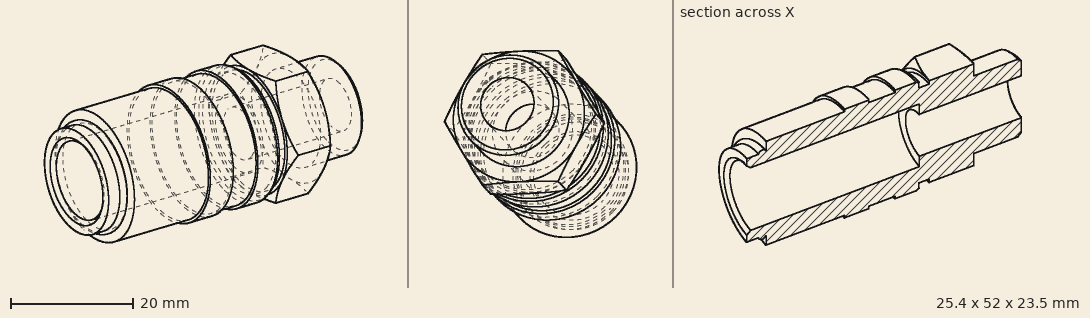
import cadquery as cq
import math

length = 52.0

tip_radius = 9.05
bead_radius = 9.65
bead_width = 1.4
sleeve_radius = 11.25
band_radius = 11.75
neck_radius = 10.3
spigot_radius = 8.4
spigot_chamfer = 0.75

sleeve_start = 3.65
front_band_start = 18.5
front_band_end = 23.15
rear_band_start = 28.1
rear_band_end = 32.65
band_chamfer_length = 0.6
band_chamfer_depth = 0.35

hex_start = 34.55
hex_end = 43.0
hex_across_corners = 25.4
hex_across_flats = hex_across_corners * math.cos(math.radians(30))
hex_chamfer_angle = 30.0

socket_radius = 6.7
socket_depth = rear_band_end
mouth_chamfer = 0.75
through_radius = 4.45


def revolve_about_y(profile):
    """Turn a closed (radius, y) profile a full circle around the Y axis."""
    return profile.close().revolve(360, (0, 0, 0), (0, 1, 0))


def turned_body():
    """Tip, retaining bead, sleeve with two raised bands, neck and spigot."""
    bead_start = sleeve_start - bead_width
    bead_middle = sleeve_start - bead_width / 2
    profile = (
        cq.Workplane("XY")
        .moveTo(0, 0)
        .lineTo(tip_radius, 0)
        .lineTo(tip_radius, bead_start)
        .threePointArc((bead_radius, bead_middle), (tip_radius, sleeve_start))
        .lineTo(sleeve_radius, sleeve_start)
        .lineTo(sleeve_radius, front_band_start)
        .lineTo(band_radius, front_band_start)
        .lineTo(band_radius, front_band_end)
        .lineTo(sleeve_radius, front_band_end)
        .lineTo(sleeve_radius, rear_band_start)
        .lineTo(band_radius, rear_band_start)
        .lineTo(band_radius, rear_band_end - band_chamfer_length)
        .lineTo(band_radius - band_chamfer_depth, rear_band_end)
        .lineTo(neck_radius, rear_band_end)
        .lineTo(neck_radius, hex_start)
        .lineTo(spigot_radius, hex_start)
        .lineTo(spigot_radius, length - spigot_chamfer)
        .lineTo(spigot_radius - spigot_chamfer, length)
        .lineTo(0, length)
    )
    return revolve_about_y(profile)


def hexagon():
    """Wrench hexagon with corners on +X and -X, both ends chamfered by cones."""
    prism = (
        cq.Workplane("XZ", origin=(0, hex_start, 0))
        .polygon(6, hex_across_corners)
        .extrude(hex_start - hex_end)
    )
    face_radius = hex_across_flats / 2
    corner_radius = hex_across_corners / 2
    chamfer_length = (corner_radius - face_radius) * math.tan(math.radians(hex_chamfer_angle))
    envelope = revolve_about_y(
        cq.Workplane("XY")
        .moveTo(0, hex_start)
        .lineTo(face_radius, hex_start)
        .lineTo(corner_radius, hex_start + chamfer_length)
        .lineTo(corner_radius, hex_end - chamfer_length)
        .lineTo(face_radius, hex_end)
        .lineTo(0, hex_end)
    )
    return prism.intersect(envelope)


def stepped_bore():
    """Socket with a chamfered mouth, continued by a smaller through hole."""
    profile = (
        cq.Workplane("XY")
        .moveTo(0, 0)
        .lineTo(socket_radius + mouth_chamfer, 0)
        .lineTo(socket_radius, mouth_chamfer)
        .lineTo(socket_radius, socket_depth)
        .lineTo(through_radius, socket_depth)
        .lineTo(through_radius, length)
        .lineTo(0, length)
    )
    return revolve_about_y(profile)


result = turned_body().union(hexagon()).cut(stepped_bore())